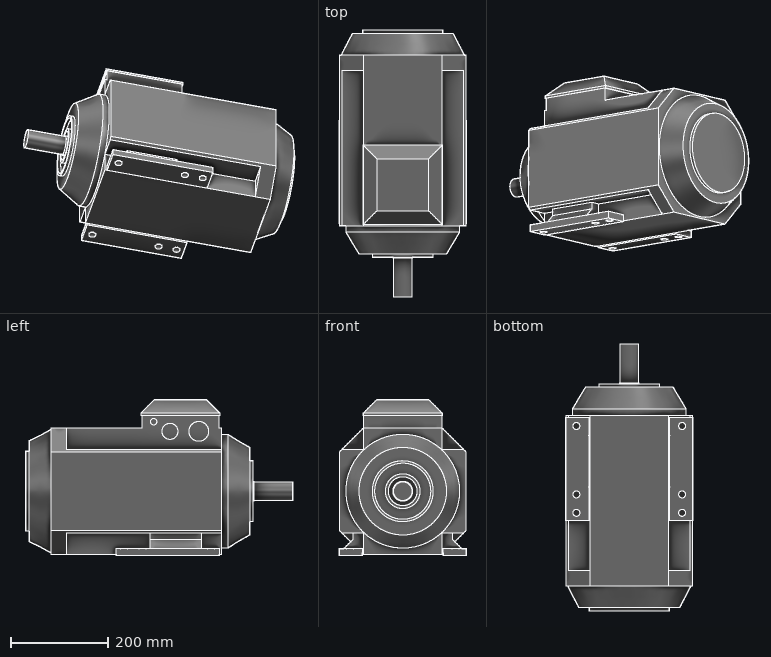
import cadquery as cq


housing_length = 351.5
housing_half = 130.5
core_half_width = 81.0
notch_floor_z = 86.0
notch_length = 319.5

front_rim_radius = 117.0
front_rim_length = 13.0
front_face_radius = 90.0
front_cover_length = 58.5
ring_height = 6.5
ring_radii = [(62.5, 58.0), (36.0, 29.5)]

shaft_radius = 19.0
collar_radius = 20.5
collar_height = 8.0
shaft_tip = 147.0
overall_length = 550

rear_base_radius = 127.0
rear_face_radius = 104.0
rear_cover_length = 44.5
end_cap_radius = 82.5
end_cap_length = overall_length - shaft_tip - housing_length - rear_cover_length

box_front = 5.0
box_length = 159.0
lid_overhang = 2.0
lid_side_overhang = 0.5
lid_bottom_z = 155.5
lid_plate = 5.0
lid_slope_run = 28.0
lid_top_z = 188.5
knockout_depth = 1.0
knockouts = [(47.0, 123.0, 20.5), (106.0, 123.0, 16.5), (139.5, 143.0, 6.5)]

foot_bottom_z = -132.5
foot_thickness = 14.5
foot_outer_x = 131.0
foot_inner_x = 83.0
foot_front = 4.5
foot_length = 212.5
foot_hole_diameter = 14.5
foot_hole_x = 109.0
foot_hole_offsets = [17.5, 158.5, 196.5]
foot_top_z = foot_bottom_z + foot_thickness

rib_front = 41.0
rib_length = 106.0
rib_outer_x = 103.0
rib_slope_z = -99.5


def block(x0, x1, y0, y1, z0, z1):
    return cq.Workplane("XY").box(x1 - x0, y1 - y0, z1 - z0, centered=False).translate((x0, y0, z0))


def disc(radius, y_start, length):
    """Cylinder on the shaft axis, running from y_start towards +Y."""
    return cq.Workplane("XZ", origin=(0, y_start, 0)).circle(radius).extrude(-length)


def revolve_about_shaft(points):
    """Revolve a closed outline of (radius, y) points about the shaft axis."""
    return cq.Workplane("XY").polyline(points).close().revolve(360, (0, 0, 0), (0, 1, 0))


def make_housing():
    side = 2 * housing_half
    body = block(-housing_half, housing_half, 0, housing_length, -housing_half, housing_half)
    body = body.edges("|Y").chamfer(housing_half - core_half_width)
    for x0 in (core_half_width, -core_half_width - side):
        for z0 in (notch_floor_z, -notch_floor_z - side):
            body = body.cut(block(x0, x0 + side, 0, notch_length, z0, z0 + side))
    return body


def make_front_cover_and_shaft():
    cover = revolve_about_shaft([
        (0, 0),
        (front_rim_radius, 0),
        (front_rim_radius, -front_rim_length),
        (front_face_radius, -front_cover_length),
        (0, -front_cover_length),
    ])
    for outer, inner in ring_radii:
        ring = disc(outer, -front_cover_length - ring_height, ring_height)
        cover = cover.union(ring.cut(disc(inner, -front_cover_length - ring_height, ring_height)))
    collar = disc(collar_radius, -front_cover_length - collar_height, collar_height)
    return cover.union(collar).union(disc(shaft_radius, -shaft_tip, shaft_tip))


def make_rear_cover():
    cover_end = housing_length + rear_cover_length
    cover = revolve_about_shaft([
        (0, housing_length),
        (rear_base_radius, housing_length),
        (rear_face_radius, cover_end),
        (0, cover_end),
    ])
    return cover.union(disc(end_cap_radius, cover_end, end_cap_length))


def make_terminal_box():
    box_back = box_front + box_length
    lid_front = box_front - lid_overhang
    lid_length = box_length + 2 * lid_overhang
    lid_half_width = core_half_width + lid_side_overhang
    lid_width = 2 * lid_half_width
    slope_z = lid_bottom_z + lid_plate
    box = block(-core_half_width, core_half_width, box_front, box_back, notch_floor_z, lid_bottom_z)
    plate = block(
        -lid_half_width, lid_half_width, lid_front, lid_front + lid_length, lid_bottom_z, slope_z
    )
    hood = (
        cq.Workplane("XY", origin=(0, lid_front + lid_length / 2, slope_z))
        .rect(lid_width, lid_length)
        .workplane(offset=lid_top_z - slope_z)
        .rect(lid_width - 2 * lid_slope_run, lid_length - 2 * lid_slope_run)
        .loft(ruled=True)
    )
    return box.union(plate).union(hood)


def make_foot():
    """Foot on the +X side with its rib and bolt holes."""
    foot = block(
        foot_inner_x, foot_outer_x, foot_front, foot_front + foot_length, foot_bottom_z, foot_top_z
    )
    flare = rib_slope_z - foot_top_z
    rib = (
        cq.Workplane("XZ", origin=(0, rib_front, 0))
        .moveTo(core_half_width, -notch_floor_z)
        .lineTo(rib_outer_x, -notch_floor_z)
        .lineTo(rib_outer_x, rib_slope_z)
        .lineTo(rib_outer_x + flare, foot_top_z)
        .lineTo(core_half_width, foot_top_z)
        .close()
        .extrude(-rib_length)
    )
    holes = (
        cq.Workplane("XY", origin=(foot_hole_x, foot_front, foot_bottom_z))
        .pushPoints([(0, offset) for offset in foot_hole_offsets])
        .circle(foot_hole_diameter / 2)
        .extrude(foot_thickness)
    )
    return foot.cut(holes).union(rib)


def make_knockouts():
    """Shallow round recesses in the -X wall of the terminal box."""
    cutters = cq.Workplane("XY")
    for y, z, radius in knockouts:
        cutter = cq.Workplane("YZ", origin=(-core_half_width, y, z)).circle(radius).extrude(knockout_depth)
        cutters = cutters.add(cutter)
    return cutters.combine()


foot = make_foot()
result = (
    make_housing()
    .union(make_front_cover_and_shaft())
    .union(make_rear_cover())
    .union(make_terminal_box())
    .union(foot)
    .union(foot.mirror("YZ"))
    .cut(make_knockouts())
)